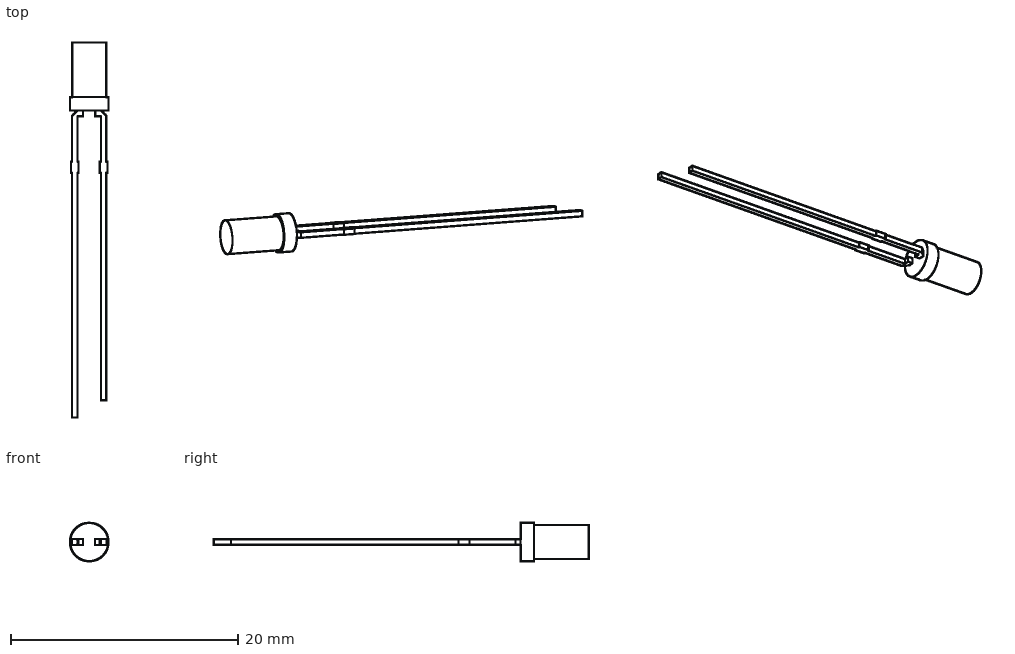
import cadquery as cq

overall_length = 33.0

body_diameter = 3.0
body_length = 6.0
flange_diameter = 3.4
flange_thickness = 1.2

lead_size = 0.5
lead_pitch = 2.55
foot_width = 2 * lead_size
bend_chamfer = 0.45
long_lead_length = overall_length - body_length
lead_length_difference = 1.52
short_lead_length = long_lead_length - lead_length_difference

collar_width = 0.7
collar_length = 1.0
collar_distance = 4.5


def cylinder_along_y(diameter, length):
    """Cylinder on the Y axis, rising from the flange base at Y = 0."""
    return cq.Workplane("XZ").circle(diameter / 2).extrude(-length)


def make_lead(length, side):
    """Lead hanging from the flange base; side is -1 for -X and +1 for +X."""
    center_x = side * lead_pitch / 2
    outer_x = center_x + side * lead_size / 2
    inner_x = center_x - side * lead_size / 2
    foot_x = outer_x - side * foot_width

    bent_strip = (
        cq.Workplane("XY")
        .moveTo(foot_x, 0)
        .lineTo(outer_x - side * bend_chamfer, 0)
        .lineTo(outer_x, -bend_chamfer)
        .lineTo(outer_x, -length)
        .lineTo(inner_x, -length)
        .lineTo(inner_x, -lead_size)
        .lineTo(foot_x, -lead_size)
        .close()
        .extrude(lead_size / 2, both=True)
    )
    collar = cq.Workplane("XY").box(collar_width, collar_length, lead_size)
    collar_center_y = -(collar_distance + collar_length / 2)
    return bent_strip.union(collar.translate((center_x, collar_center_y, 0)))


body = cylinder_along_y(body_diameter, body_length)
flange = cylinder_along_y(flange_diameter, flange_thickness)
long_lead = make_lead(long_lead_length, -1)
short_lead = make_lead(short_lead_length, 1)

result = body.union(flange).union(long_lead).union(short_lead)